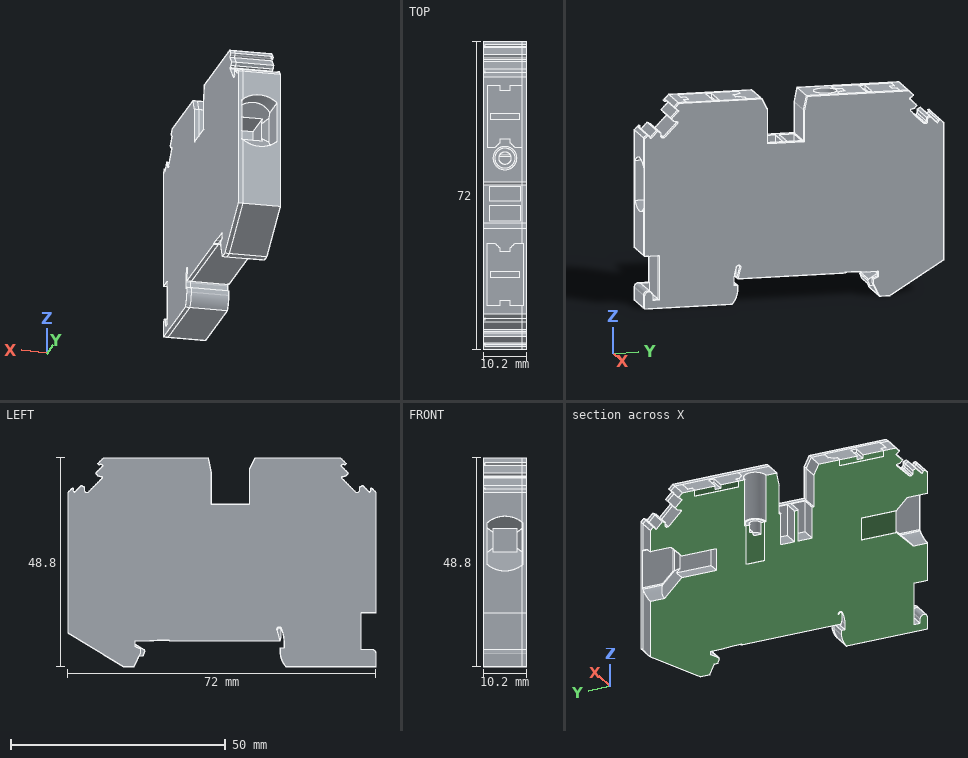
import cadquery as cq

width = 10.15
length = 72.0
height = 48.8
cover_thickness = 1.1
wall_thickness = 0.36
cover_face_x = width - cover_thickness
half_length = length / 2
center_x = width / 2

channel_rear_y = 2.48
channel_front_y = -6.39
channel_floor_z = 38.0
channel_rear_chamfer_z = 45.4
channel_front_chamfer_z = 46.2
channel_mouth_rear_y = 3.17
channel_mouth_front_y = -7.7

upper_shoulder = (27.7, height)
tooth_outline = [
    upper_shoulder,
    (29.05, 47.45),
    (28.75, 47.15),
    (28.3, 47.35),
    (27.8, 47.0),
    (29.55, 45.25),
    (28.95, 44.55),
    (28.0, 44.35),
    (28.0, 44.1),
    (31.3, 40.75),
    (31.8, 40.75),
    (32.1, 41.1),
    (32.1, 42.0),
    (32.9, 42.4),
    (34.5, 40.75),
    (34.8, 41.3),
    (34.65, 41.7),
    (34.95, 41.8),
    (half_length, 40.76),
]

tooth_trims = [
    [(28.75, 47.75), (29.3, 47.2), (28.7, 47.0), (28.3, 47.35)],
    [(35.26, 41.5), (34.95, 42.0), (34.5, 41.75), (34.8, 41.3)],
]

base_z = 6.0
rear_slope_top_z = 7.9
rear_foot_y = 23.0
rear_foot_inner_y = 20.55
rear_hook_y = 19.05
rear_hook_low_z = 3.15
rear_hook_high_z = 4.2
rear_undercut_y = 20.3
rear_undercut_z = 4.75
tongue_start_x = 1.2
tongue_root_z = 5.3
tongue_tip = [(18.15, 4.0), (18.0, 3.65), (18.45, 2.5)]
tongue_embed = 0.4
base_relief_z = base_z + 0.2
base_relief_ends_y = (17.5, 12.3)
base_relief_full_y = 14.5

spring_slot_inner_y = -13.56
spring_slot_top = (-13.35, 9.3)
spring_slot_left = (-12.85, 8.7)
spring_slot_right = (-13.9, 8.8)
spring_slot_bulge = (-14.4, 7.0)
spring_slot_outer_y = -14.5
slot_fill_edge_y = -13.8
slot_fill_low_z = 6.9
front_foot_top_z = 4.45
front_foot_edge = (-13.56, 3.3)
front_foot_bulge = (-14.0, 1.5)
front_foot_y = -14.95

notch_floor_y = -32.5
notch_top_z = 12.6
notch_bottom_z = 4.1
notch_lip_radius = 1.0
notch_groove_floor_z = 2.0
notch_wall_thickness = 0.7

marker_inner_y = 11.2
marker_outer_y = 25.7
marker_thickness = 1.5
marker_notch_width = 2.4
marker_outer_notch_depth = 1.2
marker_inner_notch_depth = 1.95
marker_flare = 1.1
marker_slot_length = 6.8
marker_slot_width = 1.4
marker_slot_depth = 0.9
marker_slot_y = 18.45
rear_marker_x = (1.05, cover_face_x)
front_marker_x = (0.87, 9.35)

screw_y = 8.72
bore_radius = 2.75
bore_depth = 12.0
screw_radius = 2.35
screw_length = 10.0
screw_socket_radius = 1.45
screw_socket_depth = 3.0
socket_step_y = (0.35, 0.7)
socket_step_height = 1.0

pocket_x = (1.5, 8.75)
pockets_y = [(-1.35, 2.1), (-5.95, -2.4)]
pocket_depth = 8.0

entry_z = 28.8
entry_radius = 6.4
entry_width = 8.5
funnel_z = 29.6
funnel_slope_depth = 3.7
funnel_side_depth = 7.95
funnel_depth = 9.1
clamp_size = 5.5
clamp_length = 9.0
funnel_mouth_half = funnel_z - entry_z + entry_radius
funnel_floor_half = funnel_mouth_half - (funnel_depth - funnel_slope_depth)
clamp_depth = funnel_slope_depth + funnel_mouth_half - clamp_size / 2


def box(x_range, y_range, z_range):
    """Box between pairs of coordinates."""
    size = [b - a for a, b in (x_range, y_range, z_range)]
    return cq.Workplane("XY").box(*size, centered=False).translate((x_range[0], y_range[0], z_range[0]))


def side_plane(x):
    """Workplane at X whose local axes are Y and Z."""
    return cq.Workplane("YZ", origin=(x, 0, 0))


def side_outline(x_start, x_end):
    """The full side outline, extruded between two X positions."""
    front_teeth = [(-y, z) for y, z in tooth_outline]
    outline = (
        side_plane(x_start)
        .moveTo(channel_rear_y, channel_floor_z)
        .lineTo(channel_rear_y, channel_rear_chamfer_z)
        .lineTo(channel_mouth_rear_y, height)
    )
    for point in tooth_outline:
        outline = outline.lineTo(*point)
    outline = (
        outline.lineTo(half_length, rear_slope_top_z)
        .lineTo(rear_foot_y, 0)
        .lineTo(rear_foot_inner_y, 0)
        .lineTo(rear_hook_y, rear_hook_low_z)
        .lineTo(rear_hook_y, rear_hook_high_z)
        .lineTo(rear_undercut_y, rear_undercut_z)
        .lineTo(rear_undercut_y, base_z)
        .lineTo(base_relief_ends_y[0], base_z)
        .lineTo(base_relief_full_y, base_relief_z)
        .lineTo(base_relief_ends_y[1], base_relief_z)
        .lineTo(base_relief_ends_y[1], base_z)
        .lineTo(spring_slot_inner_y, base_z)
        .lineTo(*spring_slot_left)
        .threePointArc(spring_slot_top, spring_slot_right)
        .threePointArc(spring_slot_bulge, (spring_slot_outer_y, base_z))
        .lineTo(spring_slot_outer_y, front_foot_top_z)
        .lineTo(front_foot_edge[0], front_foot_top_z)
        .lineTo(*front_foot_edge)
        .threePointArc(front_foot_bulge, (front_foot_y, 0))
        .lineTo(-half_length, 0)
        .lineTo(-half_length, notch_bottom_z - notch_lip_radius)
        .radiusArc((-half_length + notch_lip_radius, notch_bottom_z), notch_lip_radius)
        .lineTo(notch_floor_y, notch_bottom_z)
        .lineTo(notch_floor_y, notch_top_z)
        .lineTo(-half_length, notch_top_z)
    )
    for point in reversed(front_teeth):
        outline = outline.lineTo(*point)
    return (
        outline.lineTo(channel_mouth_front_y, height)
        .lineTo(channel_front_y, channel_front_chamfer_z)
        .lineTo(channel_front_y, channel_floor_z)
        .close()
        .extrude(x_end - x_start)
    )


def rail_tongue():
    """Wedge on the rear foot that reaches under the rail edge, set back from the -X side."""
    outline = [
        (rear_undercut_y, tongue_root_z),
        *tongue_tip,
        (rear_hook_y + tongue_embed, tongue_tip[-1][1]),
        (rear_undercut_y, rear_hook_low_z),
    ]
    return side_plane(tongue_start_x).polyline(outline).close().extrude(cover_face_x - tongue_start_x)


def spring_slot_fill():
    """Material that narrows the spring slot behind the outer skin."""
    outline = [
        (spring_slot_inner_y, base_z),
        spring_slot_left,
        spring_slot_top,
        (slot_fill_edge_y, spring_slot_right[1]),
        (slot_fill_edge_y, slot_fill_low_z),
    ]
    return side_plane(wall_thickness).polyline(outline).close().extrude(cover_face_x - wall_thickness)


def lip_groove():
    """Cutter for the groove in the release notch that leaves a fully rounded lip at the front."""
    lip_top_y = -half_length + notch_lip_radius
    lip_inner_y = lip_top_y + notch_lip_radius
    return (
        side_plane(notch_wall_thickness)
        .moveTo(lip_top_y, notch_bottom_z)
        .radiusArc((lip_inner_y, notch_bottom_z - notch_lip_radius), notch_lip_radius)
        .lineTo(lip_inner_y, notch_groove_floor_z)
        .lineTo(notch_floor_y, notch_groove_floor_z)
        .lineTo(notch_floor_y, notch_bottom_z)
        .close()
        .extrude(width - notch_wall_thickness)
    )


def tooth_trim(corners, direction):
    """Cutter that trims a tooth corner; direction is +1 at the rear and -1 at the front."""
    corners = [(direction * y, z) for y, z in corners]
    return side_plane(wall_thickness).polyline(corners).close().extrude(width - wall_thickness)


def marker_plate(x_range, direction):
    """Marker plate flush with the top; direction is +1 at the rear and -1 at the front."""
    x_left, x_right = x_range
    notch_left = center_x - marker_notch_width / 2
    notch_right = center_x + marker_notch_width / 2
    outer_notch_y = marker_outer_y - marker_outer_notch_depth
    inner_notch_y = marker_inner_y + marker_inner_notch_depth
    flare_y = marker_inner_y + marker_flare
    outline = [
        (x_left, marker_inner_y),
        (notch_left - marker_flare, marker_inner_y),
        (notch_left, flare_y),
        (notch_left, inner_notch_y),
        (notch_right, inner_notch_y),
        (notch_right, flare_y),
        (notch_right + marker_flare, marker_inner_y),
        (x_right, marker_inner_y),
        (x_right, marker_outer_y),
        (notch_right, marker_outer_y),
        (notch_right, outer_notch_y),
        (notch_left, outer_notch_y),
        (notch_left, marker_outer_y),
        (x_left, marker_outer_y),
    ]
    outline = [(x, direction * y) for x, y in outline]
    return (
        cq.Workplane("XY", origin=(0, 0, height - marker_thickness))
        .polyline(outline)
        .close()
        .extrude(marker_thickness)
    )


def marker_slot(direction):
    """Tool slot in the top of a marker plate."""
    return cq.Workplane("XY").box(marker_slot_length, marker_slot_width, 2 * marker_slot_depth).translate(
        (center_x, direction * marker_slot_y, height)
    )


def screw_cylinder(radius, top_z, depth):
    """Cylinder on the screw axis, going down from top_z."""
    return cq.Workplane("XY", origin=(center_x, screw_y, top_z)).circle(radius).extrude(-depth)


def entry_funnel():
    """Cutter for the wire entry in the front end, running toward +Y."""
    face_y = -half_length
    floor_y = face_y + funnel_depth
    slope_y = face_y + funnel_slope_depth
    opening_plane = cq.Workplane("XZ", origin=(center_x, face_y, entry_z))
    opening = opening_plane.circle(entry_radius).extrude(-funnel_depth)
    half_clamp = clamp_size / 2
    height_taper = (
        cq.Workplane("YZ")
        .moveTo(face_y, funnel_z - funnel_mouth_half)
        .lineTo(slope_y, funnel_z - funnel_mouth_half)
        .lineTo(floor_y, funnel_z - funnel_floor_half)
        .lineTo(floor_y, funnel_z + funnel_floor_half)
        .lineTo(slope_y, funnel_z + funnel_mouth_half)
        .lineTo(face_y, funnel_z + funnel_mouth_half)
        .close()
        .extrude(width)
    )
    side_y = face_y + funnel_side_depth
    width_taper = (
        cq.Workplane("XY")
        .moveTo(center_x - entry_width / 2, face_y)
        .lineTo(center_x - entry_width / 2, side_y)
        .lineTo(center_x - half_clamp, floor_y)
        .lineTo(center_x + half_clamp, floor_y)
        .lineTo(center_x + entry_width / 2, side_y)
        .lineTo(center_x + entry_width / 2, face_y)
        .close()
        .extrude(height)
    )
    return opening.intersect(height_taper).intersect(width_taper)


def make_clamp():
    """Wire clamp block whose square face stands just inside the bottom of the front wire entry."""
    start_y = -half_length + clamp_depth
    return cq.Workplane("XZ", origin=(center_x, start_y, funnel_z)).rect(clamp_size, clamp_size).extrude(
        -clamp_length
    )


def make_screw():
    """Screw with a round socket whose floor has a sloped step."""
    top_z = height - bore_depth
    floor_z = top_z - screw_socket_depth
    socket = screw_cylinder(screw_socket_radius, top_z, screw_socket_depth)
    step_start, step_end = (screw_y + offset for offset in socket_step_y)
    step = (
        side_plane(0)
        .moveTo(step_start, floor_z)
        .lineTo(step_end, floor_z + socket_step_height)
        .lineTo(screw_y + screw_socket_radius, floor_z + socket_step_height)
        .lineTo(screw_y + screw_socket_radius, floor_z)
        .close()
        .extrude(width)
    )
    return screw_cylinder(screw_radius, top_z, screw_length).cut(socket.cut(step))


rear_plate_blank = marker_plate(rear_marker_x, 1)
front_plate_blank = marker_plate(front_marker_x, -1)
rear_marker = rear_plate_blank.cut(marker_slot(1))
front_marker = front_plate_blank.cut(marker_slot(-1))
screw = make_screw()
clamp = make_clamp()

front_funnel = entry_funnel()
rear_funnel = front_funnel.mirror("XZ")
rear_clamp_seat = clamp.mirror("XZ")
shared_cuts = [front_plate_blank, front_funnel, rear_funnel, lip_groove()]
for trim_corners in tooth_trims:
    for end_direction in (1, -1):
        shared_cuts.append(tooth_trim(trim_corners, end_direction))

housing = side_outline(0, cover_face_x).union(rail_tongue()).union(spring_slot_fill())
housing_cuts = shared_cuts + [
    rear_plate_blank,
    screw_cylinder(bore_radius, height, bore_depth),
    screw_cylinder(screw_radius, height - bore_depth, screw_length),
    clamp,
    rear_clamp_seat,
]
for pocket_y in pockets_y:
    housing_cuts.append(box(pocket_x, pocket_y, (channel_floor_z - pocket_depth, channel_floor_z)))
for cutter in housing_cuts:
    housing = housing.cut(cutter)

cover = side_outline(cover_face_x, width)
for cutter in shared_cuts:
    cover = cover.cut(cutter)

result = cq.Compound.makeCompound(
    [housing.val(), cover.val(), rear_marker.val(), front_marker.val(), screw.val(), clamp.val()]
)